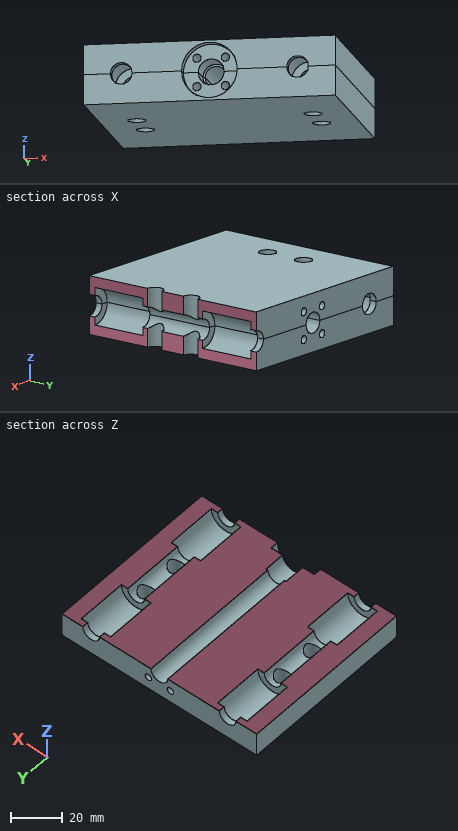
import cadquery as cq
import math

LENGTH = 100.0
WIDTH = 84.0
HEIGHT = 24.0
PLATE_THICKNESS = HEIGHT / 2
FRONT_Y = -WIDTH / 2

BORE_DIAMETER = 8.5
GUIDE_OFFSET = 35.0
POCKET_DIAMETER = 15.0
POCKET_INSET = 3.0
POCKET_LENGTH = 24.0
BOLT_DIAMETER = 7.0
BOLT_SPACING = 18.0

FLANGE_DIAMETER = 22.0
FLANGE_DEPTH = 3.8
SLEEVE_DIAMETER = 10.2
SLEEVE_DEPTH = 10.0
SCREW_DIAMETER = 3.2
SCREW_CIRCLE_DIAMETER = 16.0
SCREW_COUNT = 4


def hole_along_y(x, z, diameter, start_y, depth):
    """Cylinder that runs from start_y toward +Y."""
    return cq.Workplane(cq.Solid.makeCylinder(
        diameter / 2, depth, cq.Vector(x, start_y, z), cq.Vector(0, 1, 0)
    ))


def cut_guide_bores(plate):
    """Through bores that widen into a bearing pocket behind each end wall."""
    front_pocket_y = FRONT_Y + POCKET_INSET
    rear_pocket_y = -front_pocket_y - POCKET_LENGTH
    for x in (-GUIDE_OFFSET, GUIDE_OFFSET):
        plate = plate.cut(hole_along_y(x, 0, BORE_DIAMETER, FRONT_Y, WIDTH))
        for pocket_y in (front_pocket_y, rear_pocket_y):
            plate = plate.cut(hole_along_y(x, 0, POCKET_DIAMETER, pocket_y, POCKET_LENGTH))
    return plate


def cut_nut_seat(plate):
    """Stepped central bore: flange recess, sleeve bore, then clearance bore."""
    seat_y = FRONT_Y + FLANGE_DEPTH
    plate = plate.cut(hole_along_y(0, 0, BORE_DIAMETER, FRONT_Y, WIDTH))
    plate = plate.cut(hole_along_y(0, 0, FLANGE_DIAMETER, FRONT_Y, FLANGE_DEPTH))
    return plate.cut(hole_along_y(0, 0, SLEEVE_DIAMETER, seat_y, SLEEVE_DEPTH))


def cut_screw_holes(plate):
    """Through holes on the diagonals around the nut seat."""
    radius = SCREW_CIRCLE_DIAMETER / 2
    for index in range(SCREW_COUNT):
        angle = 2 * math.pi * (index + 0.5) / SCREW_COUNT
        x = radius * math.cos(angle)
        z = radius * math.sin(angle)
        plate = plate.cut(hole_along_y(x, z, SCREW_DIAMETER, FRONT_Y, WIDTH))
    return plate


def cut_bolt_holes(plate):
    bolts = (
        cq.Workplane("XY")
        .workplane(offset=-PLATE_THICKNESS)
        .rarray(2 * GUIDE_OFFSET, BOLT_SPACING, 2, 2)
        .circle(BOLT_DIAMETER / 2)
        .extrude(HEIGHT)
    )
    return plate.cut(bolts)


def make_plate(bottom_z):
    """One half of the block, with its share of every bore."""
    plate = cq.Workplane("XY").box(
        LENGTH, WIDTH, PLATE_THICKNESS, centered=(True, True, False)
    ).translate((0, 0, bottom_z))
    plate = cut_guide_bores(plate)
    plate = cut_nut_seat(plate)
    plate = cut_screw_holes(plate)
    return cut_bolt_holes(plate)


lower_plate = make_plate(-PLATE_THICKNESS)
upper_plate = make_plate(0)

result = cq.Compound.makeCompound([lower_plate.val(), upper_plate.val()])